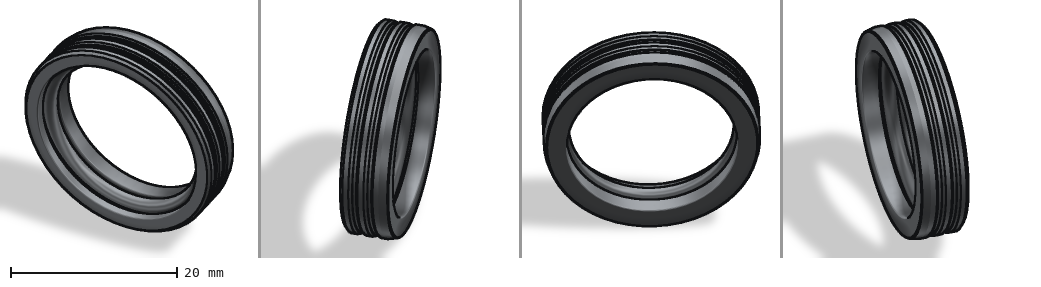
import cadquery as cq
import math

outer_radius = 13.05
width = 6.0
front_bore_radius = 11.0
rear_bore_radius = 10.25
bore_edge_fillet = 0.18

front_chamfer = 0.4
land_width = 0.73
ramp_length = 0.45
ramp_drop = 0.15
groove_depth = 0.23
groove_floor_length = 0.47
flank_length = 0.23
tail_length = 1.02
tail_drop = 0.25
rear_chamfer = 0.13
groove_count = 2
first_groove_start = front_chamfer + land_width
groove_pitch = ramp_length + groove_floor_length + flank_length + land_width

seal_inner_radius = 9.88
seal_section_radius = 0.95
seal_center_y = 2.48
seal_center_radius = seal_inner_radius + seal_section_radius

gland_center_y = 2.53
gland_width = 2.55
gland_radius = seal_center_radius + seal_section_radius
gland_floor_fillet = 0.55


def groove_points(start_y):
    """Outline of one groove, from the end of one land to the start of the next."""
    floor_radius = outer_radius - groove_depth
    ramp_end = start_y + ramp_length
    floor_end = ramp_end + groove_floor_length
    return [
        (outer_radius, start_y),
        (outer_radius - ramp_drop, ramp_end),
        (floor_radius, ramp_end),
        (floor_radius, floor_end),
        (outer_radius, floor_end + flank_length),
    ]


def outer_points():
    """Outer outline from the front face to the rear face."""
    points = [(outer_radius - front_chamfer, 0), (outer_radius, front_chamfer)]
    for index in range(groove_count):
        points += groove_points(first_groove_start + index * groove_pitch)
    tail_start = first_groove_start + groove_count * groove_pitch
    tail_radius = outer_radius - tail_drop
    points += [
        (outer_radius, tail_start),
        (tail_radius, tail_start + tail_length),
        (tail_radius - rear_chamfer, width),
    ]
    return points


def gland_points():
    """Inner outline from the rear bore, around the gland, to the front bore."""
    front_wall = gland_center_y - gland_width / 2
    rear_wall = gland_center_y + gland_width / 2
    return [
        (rear_bore_radius, width),
        (rear_bore_radius, rear_wall),
        (gland_radius, rear_wall),
        (gland_radius, front_wall),
        (front_bore_radius, front_wall),
        (front_bore_radius, 0),
    ]


def circles_of_radius(ring, radius):
    """Circular edges of the ring that have the given radius."""
    return ring.edges("%CIRCLE").filter(lambda edge: math.isclose(edge.radius(), radius, abs_tol=2.61e-05))


def make_housing():
    """Grooved ring whose stepped bore has a gland with rounded edges and corners."""
    profile = cq.Workplane("XY").polyline(outer_points() + gland_points()).close()
    ring = profile.revolve(360, (0, 0, 0), (0, 1, 0))
    ring = circles_of_radius(ring, gland_radius).fillet(gland_floor_fillet)
    ring = circles_of_radius(ring, front_bore_radius).fillet(bore_edge_fillet)
    return circles_of_radius(ring, rear_bore_radius).fillet(bore_edge_fillet)


def make_seal():
    """Round-section seal seated on the gland floor."""
    section = (
        cq.Workplane("XY")
        .center(seal_center_radius, seal_center_y)
        .circle(seal_section_radius)
    )
    axis_start = (-seal_center_radius, 0, 0)
    axis_end = (-seal_center_radius, 1, 0)
    return section.revolve(360, axis_start, axis_end)


housing = make_housing()
seal = make_seal()
result = cq.Compound.makeCompound([housing.val(), seal.val()])